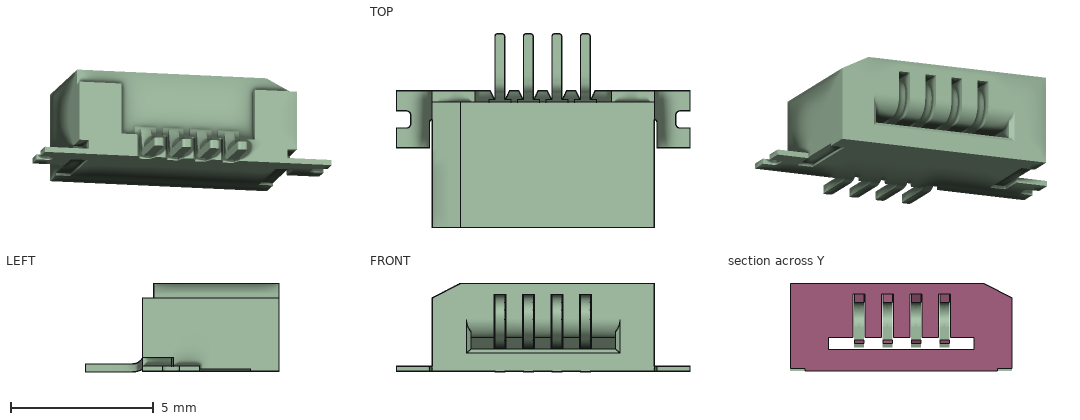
import cadquery as cq
import math


housing_width = 7.8
housing_depth = 4.8
housing_height = 3.09
half_width = housing_width / 2
key_chamfer_width = 1.0
key_chamfer_height = 0.52
shoulder_height = housing_height - key_chamfer_height

ledge_depth = 0.4
rear_wall_y = housing_depth - ledge_depth
lowered_width = 4.8

cavity_width = 5.07
cavity_floor = 0.78
cavity_ceiling = 1.18
cavity_depth = 2.68
lip_radius = 0.62
mouth_chamfer = 0.15
mouth_floor_drop = 0.13

contact_count = 4
contact_pitch = 1.0
contact_width = 0.35
contact_thickness = 0.29
seat_drop = 0.02
tail_z = contact_thickness / 2 - seat_drop
slot_width = 0.41
slot_ceiling = 2.7
slot_depth = 2.88
contact_row_offset = -0.02
first_contact_x = contact_row_offset - (contact_count - 1) / 2 * contact_pitch
contact_centers = [first_contact_x + i * contact_pitch for i in range(contact_count)]

contact_end_y = 6.8
tail_length = 1.66
tail_corner = 0.1
rise_angle = 82.0
rise_radius = 0.54
ramp_angle = 33.0
ramp_radius = 0.68
crest_fall = 4.0
nose_radius = 0.57
nose_front_y = 0.3
free_end_angle = 25.0
free_length = 1.09
barb_width = 0.76
barb_rear_y = rear_wall_y + 0.09
barb_length = 0.62

notch_mouth = 0.68
notch_taper_depth = 0.28

tab_thickness = 0.19
tab_length = 2.01
tab_reach = 5.15
tab_gap = 0.08
tab_neck = 1.02
tab_notch_start = 0.71
tab_notch_width = 0.6
tab_notch_depth = 0.5
tab_notch_radius = 0.15
pocket_depth = 0.52
pocket_length = 1.1
pocket_height = 0.49
relief_length = 3.8
relief_height = 0.09


def block(x_range, y_range, z_range):
    """Box between two limits on each axis."""
    (x0, x1), (y0, y1), (z0, z1) = x_range, y_range, z_range
    return cq.Workplane("XY").box(x1 - x0, y1 - y0, z1 - z0, centered=False).translate((x0, y0, z0))


def centered_span(width, center=0.0):
    return (center - width / 2, center + width / 2)


def contact_moves():
    """Straights and arcs of the contact: (length,) or (radius, turn), positive turning upward."""
    rise = math.radians(rise_angle)
    ramp = math.radians(ramp_angle)
    fall = math.radians(crest_fall)
    crest_z = slot_ceiling - contact_thickness / 2
    bends_height = (rise_radius + ramp_radius) * (1 - math.cos(rise))
    ramp_length = (crest_z - tail_z - bends_height) / math.sin(ramp)
    bends_run = (rise_radius + ramp_radius) * math.sin(rise) + ramp_radius * math.sin(fall)
    crest_start_y = contact_end_y - tail_length - bends_run - ramp_length * math.cos(ramp)
    nose_center_y = nose_front_y + nose_radius + contact_thickness / 2
    nose_start_y = nose_center_y - nose_radius * math.sin(fall)
    crest_length = (crest_start_y - nose_start_y) / math.cos(fall)
    nose_turn = 180.0 - free_end_angle - crest_fall
    return [
        (tail_length,),
        (rise_radius, rise_angle),
        (ramp_radius, ramp_angle - rise_angle),
        (ramp_length,),
        (ramp_radius, -ramp_angle - crest_fall),
        (crest_length,),
        (nose_radius, -nose_turn),
        (free_length,),
    ]


def strip_edge(offset):
    """Points along one face of the contact as (middle, end) pairs; middle is None on a straight."""
    y, z, heading = contact_end_y, tail_z, 0.0

    def face_point(py, pz, angle):
        return (py + offset * math.sin(angle), pz + offset * math.cos(angle))

    edge = [(None, face_point(y, z, heading))]
    for move in contact_moves():
        if len(move) == 1:
            y -= move[0] * math.cos(heading)
            z += move[0] * math.sin(heading)
            edge.append((None, face_point(y, z, heading)))
            continue
        radius = math.copysign(move[0], move[1])
        center_y = y + radius * math.sin(heading)
        center_z = z + radius * math.cos(heading)
        middle_heading = heading + math.radians(move[1]) / 2
        heading += math.radians(move[1])
        stations = []
        for angle in (middle_heading, heading):
            y = center_y - radius * math.sin(angle)
            z = center_z - radius * math.cos(angle)
            stations.append(face_point(y, z, angle))
        edge.append(tuple(stations))
    return edge


def contact_strip(width):
    """The bent strip at one width, centred on X = 0."""
    upper = strip_edge(contact_thickness / 2)
    lower = strip_edge(-contact_thickness / 2)
    outline = cq.Workplane("YZ").moveTo(*upper[0][1])
    for middle, end in upper[1:]:
        outline = outline.threePointArc(middle, end) if middle else outline.lineTo(*end)
    outline = outline.lineTo(*lower[-1][1])
    for (middle, _), (_, end) in zip(lower[:0:-1], lower[-2::-1]):
        outline = outline.threePointArc(middle, end) if middle else outline.lineTo(*end)
    return outline.close().extrude(width / 2, both=True)


def make_contact():
    """Bent contact with rounded tail corners and a wider barbed stretch at the rear wall."""
    strip = contact_strip(contact_width)
    strip = strip.faces(">Y").edges("|Z").fillet(tail_corner)
    barb_zone = block(
        centered_span(barb_width),
        (barb_rear_y - barb_length, barb_rear_y),
        (-seat_drop, housing_height),
    )
    return strip.union(contact_strip(barb_width).intersect(barb_zone))


def make_tab(side):
    """Flat solder tab with an open notch, a neck in the housing and an upright leg; side is -1 or 1."""
    rear = housing_depth
    gap_x = half_width + tab_gap
    neck_front = rear - tab_neck
    inner_x = half_width - pocket_depth
    plate = (
        cq.Workplane("XY")
        .moveTo(inner_x, rear)
        .lineTo(tab_reach, rear)
        .lineTo(tab_reach, rear - tab_length)
        .lineTo(gap_x, rear - tab_length)
        .lineTo(gap_x, neck_front - tab_gap)
        .radiusArc((half_width, neck_front), -tab_gap)
        .lineTo(inner_x, neck_front)
        .close()
        .extrude(tab_thickness)
    )
    notch_rear = rear - tab_notch_start
    notch = block(
        (tab_reach - tab_notch_depth, tab_reach),
        (notch_rear - tab_notch_width, notch_rear),
        (0, tab_thickness),
    )
    notch = notch.faces("<X").edges("|Z").fillet(tab_notch_radius)
    leg = block((inner_x, inner_x + tab_thickness), (neck_front, rear), (0, pocket_height))
    tab = plate.cut(notch).union(leg)
    return tab if side > 0 else tab.mirror("YZ")


def housing_block():
    """Keyed block with the rear ledge cut away, lowest in its middle."""
    block_solid = (
        cq.Workplane("XZ")
        .moveTo(-half_width, 0)
        .lineTo(half_width, 0)
        .lineTo(half_width, housing_height)
        .lineTo(key_chamfer_width - half_width, housing_height)
        .lineTo(-half_width, shoulder_height)
        .close()
        .extrude(-housing_depth)
    )
    ledge_y = (rear_wall_y, housing_depth)
    ledge = block((-half_width, half_width), ledge_y, (shoulder_height, housing_height))
    lowered = block(centered_span(lowered_width), ledge_y, (cavity_floor, housing_height))
    return block_solid.cut(ledge).cut(lowered)


def cable_cavity():
    """Cable opening with a rounded upper lip and chamfered sides and floor at the mouth."""
    bore = block(centered_span(cavity_width), (0, cavity_depth), (cavity_floor, cavity_ceiling))
    lip_top = cavity_ceiling + lip_radius
    mouth_width = cavity_width + 2 * mouth_chamfer
    lip = (
        cq.Workplane("YZ")
        .moveTo(0, cavity_floor - mouth_floor_drop)
        .lineTo(0, lip_top)
        .radiusArc((lip_radius, cavity_ceiling), -lip_radius)
        .lineTo(lip_radius, cavity_floor)
        .lineTo(mouth_chamfer, cavity_floor)
        .close()
        .extrude(mouth_width / 2, both=True)
    )
    plan = (
        cq.Workplane("XY")
        .moveTo(-mouth_width / 2, 0)
        .lineTo(mouth_width / 2, 0)
        .lineTo(cavity_width / 2, mouth_chamfer)
        .lineTo(cavity_width / 2, lip_radius)
        .lineTo(-cavity_width / 2, lip_radius)
        .lineTo(-cavity_width / 2, mouth_chamfer)
        .close()
        .extrude(housing_height)
    )
    return bore.union(lip.intersect(plan))


def contact_slot(center):
    return block(centered_span(slot_width, center), (0, slot_depth), (cavity_floor, slot_ceiling))


def tail_notch(center):
    """Tapered notch through the rear ledge where a solder tail leaves the housing."""
    taper_y = housing_depth - notch_taper_depth
    return (
        cq.Workplane("XY")
        .moveTo(center - notch_mouth / 2, housing_depth)
        .lineTo(center + notch_mouth / 2, housing_depth)
        .lineTo(center + slot_width / 2, taper_y)
        .lineTo(center + slot_width / 2, rear_wall_y)
        .lineTo(center - slot_width / 2, rear_wall_y)
        .lineTo(center - slot_width / 2, taper_y)
        .close()
        .extrude(cavity_floor)
    )


def tab_pocket(side):
    """Side pocket for a tab, with a shallow relief running forward along the underside."""
    x_span = sorted((side * half_width, side * (half_width - pocket_depth)))
    pocket = block(x_span, (housing_depth - pocket_length, housing_depth), (0, pocket_height))
    relief = block(x_span, (housing_depth - relief_length, housing_depth), (0, relief_height))
    return pocket.union(relief)


def make_housing(contacts):
    housing = housing_block().cut(cable_cavity())
    for center in contact_centers:
        housing = housing.cut(contact_slot(center)).cut(tail_notch(center))
    for side in (-1, 1):
        housing = housing.cut(tab_pocket(side))
    for contact in contacts:
        housing = housing.cut(contact)
    return housing


contacts = [make_contact().translate((center, 0, 0)) for center in contact_centers]
tabs = [make_tab(side) for side in (-1, 1)]
housing = make_housing(contacts)

result = cq.Compound.makeCompound(
    [
        housing.solids().val(),
        *[contact.solids().val() for contact in contacts],
        *[tab.solids().val() for tab in tabs],
    ]
)